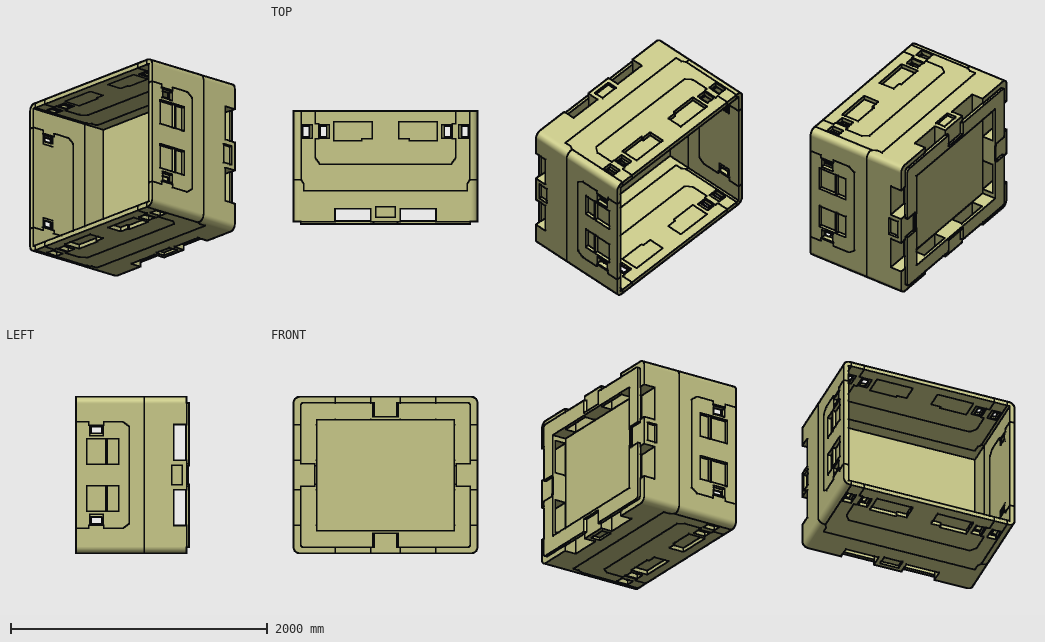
import cadquery as cq

length = 1435.0
width = 1220.0
height = 881.0
corner_radius = 52.0
overshoot = 15.0

wall_thickness = 40.0
corner_return = 63.0
seam_depth = 534.0
tab_taper_start = 538.0
tab_taper_end = 568.0
tab_depth = 623.0
tab_inset = 19.0

long_door_width = 1094.0
end_door_width = 830.0
door_depth = 416.0
door_corner_width = 37.0
door_corner_depth = 50.0
door_notch_width = 26.0
door_notch_top = 100.0
door_notch_bottom = 215.0

latch_pocket_width = 72.0
latch_pocket_top = 108.0
latch_pocket_bottom = 211.0
latch_hole_width = 50.0
latch_hole_top = 118.0
latch_hole_bottom = 200.0
latch_setback = 37.0
wall_latch_setback = 11.0
long_side_latch_depth = 35.0
end_side_latch_depth = 32.0

recess_top = 83.0
long_recess_inner = 103.0
long_recess_outer = 405.0
long_recess_bottom = 234.0
long_recess_step_outer = 184.0
long_recess_step_bottom = 217.0
long_recess_depth = 35.0
end_recess_inner = 83.0
end_recess_outer = 283.0
end_recess_bottom = 335.0
end_recess_bar_top = 234.0
end_recess_bar_bottom = 244.0
end_recess_depth = 29.0

post_bottom = 20.0
runner_top = 26.0
deck_bottom = 119.0
deck_thickness = 36.0
cavity_top = 120.0
fork_inner = 116.0
fork_outer = 392.0
runner_length = 1320.0
runner_width = 1125.0
runner_corner_radius = 22.0
cavity_length = 1070.0
cavity_width = 864.0
label_half_width = 77.0
label_bottom = 55.0
label_top = 136.0
label_depth = 23.0

end_notch_half_width = 89.0
end_notch_floor = 551.0
end_relief_half_width = 72.0
end_relief_depth = 6.0
long_notch_inner_half_width = 88.0
long_notch_outer_half_width = 100.0
long_notch_floor = 455.0

seam_height = height - seam_depth
SIDES = (-1, 1)


def block(x_range, y_range, z_range):
    """Box between the given limits."""
    sizes = [high - low for low, high in (x_range, y_range, z_range)]
    return cq.Workplane("XY").box(*sizes, centered=False).translate((x_range[0], y_range[0], z_range[0]))


def mirrored_block(side, x_range, y_range, z_range):
    """Box on the +X side, or its mirror image on the -X side."""
    x_limits = sorted(side * x for x in x_range)
    return block(x_limits, y_range, z_range)


def below_rim(top, bottom):
    """Y limits of a feature given by its depths below the rim."""
    return (height - bottom, height - top)


def rounded_body(size_x, size_z, y_range, radius):
    """Upright block with rounded vertical corners."""
    half_x, half_z = size_x / 2, size_z / 2
    return block((-half_x, half_x), y_range, (-half_z, half_z)).edges("|Y").fillet(radius)


def facing(panel, angle):
    """Turn a panel that faces +Z about the container's upright axis."""
    return panel.rotate((0, 0, 0), (0, 1, 0), angle)


def door_blank(door_width, outer_face):
    """Plain door facing +Z, with a notch in each side and cut lower corners."""
    half = door_width / 2
    right_side = [
        (half, 0),
        (half, door_notch_top),
        (half - door_notch_width, door_notch_top),
        (half - door_notch_width, door_notch_bottom),
        (half, door_notch_bottom),
        (half, door_depth - door_corner_depth),
        (half - door_corner_width, door_depth),
    ]
    left_side = [(-x, depth) for x, depth in reversed(right_side)]
    outline = [(x, height - depth) for x, depth in right_side + left_side]
    inner_face = outer_face - wall_thickness
    return cq.Workplane("XY").workplane(offset=inner_face).polyline(outline).close().extrude(wall_thickness)


def cut_latches(panel, outer_end, outer_face, pocket_depth):
    """Cut a latch pocket and its hole at both ends of a panel facing +Z."""
    outside = outer_face + overshoot
    inside = outer_face - wall_thickness - overshoot
    for side in SIDES:
        pocket = mirrored_block(
            side,
            (outer_end - latch_pocket_width, outer_end),
            below_rim(latch_pocket_top, latch_pocket_bottom),
            (outer_face - pocket_depth, outside),
        )
        hole = mirrored_block(
            side,
            (outer_end - latch_hole_width, outer_end),
            below_rim(latch_hole_top, latch_hole_bottom),
            (inside, outside),
        )
        panel = panel.cut(pocket).cut(hole)
    return panel


def long_door():
    """Door of a long wall, with two stepped hand recesses."""
    outer_face = width / 2
    door = door_blank(long_door_width, outer_face)
    door = cut_latches(door, long_door_width / 2 - latch_setback, outer_face, long_side_latch_depth)
    recess_z = (outer_face - long_recess_depth, outer_face + overshoot)
    for side in SIDES:
        shallow_part = mirrored_block(
            side,
            (long_recess_inner, long_recess_outer),
            below_rim(recess_top, long_recess_step_bottom),
            recess_z,
        )
        deep_part = mirrored_block(
            side,
            (long_recess_step_outer, long_recess_outer),
            below_rim(recess_top, long_recess_bottom),
            recess_z,
        )
        door = door.cut(shallow_part).cut(deep_part)
    return door


def end_door():
    """Door of an end wall, with two hand recesses that are each crossed by a bar."""
    outer_face = length / 2
    door = door_blank(end_door_width, outer_face)
    door = cut_latches(door, end_door_width / 2 - latch_setback, outer_face, end_side_latch_depth)
    recess_z = (outer_face - end_recess_depth, outer_face + overshoot)
    recess_depths = ((recess_top, end_recess_bar_top), (end_recess_bar_bottom, end_recess_bottom))
    for side in SIDES:
        for top, bottom in recess_depths:
            recess = mirrored_block(side, (end_recess_inner, end_recess_outer), below_rim(top, bottom), recess_z)
            door = door.cut(recess)
    return door


def long_wall_blank():
    """Long wall without openings, facing +Z, with a tapered tab along its lower edge."""
    half = length / 2 - corner_return
    right_side = [
        (half, 0),
        (half, tab_taper_start),
        (half - tab_inset, tab_taper_end),
        (half - tab_inset, tab_depth),
    ]
    left_side = [(-x, depth) for x, depth in reversed(right_side)]
    outline = [(x, height - depth) for x, depth in right_side + left_side]
    inner_face = width / 2 - wall_thickness
    wall = cq.Workplane("XY").workplane(offset=inner_face).polyline(outline).close()
    return wall.extrude(wall_thickness)


def long_wall():
    """Long wall with its door opening and the latches beside it."""
    outer_face = width / 2
    wall = long_wall_blank().cut(door_blank(long_door_width, outer_face))
    latch_end = length / 2 - corner_return - wall_latch_setback
    return cut_latches(wall, latch_end, outer_face, long_side_latch_depth)


def end_wall():
    """End wall facing +Z, returned round its outer corners, with its door opening."""
    outer_face = length / 2
    half = width / 2
    wall_y = (seam_height, height)
    wall = block((-half, half), wall_y, (outer_face - corner_return, outer_face))
    wall = wall.edges("|Y and >Z").fillet(corner_radius)
    inner_half = half - wall_thickness
    wall = wall.cut(block((-inner_half, inner_half), wall_y, (0, outer_face - wall_thickness)))
    return wall.cut(door_blank(end_door_width, outer_face))


def runner():
    """Frame under the posts, notched at the middle of each side."""
    frame = rounded_body(runner_length, runner_width, (0, runner_top), runner_corner_radius)
    notch_y = (-overshoot, post_bottom)

    end_z = (-end_notch_half_width, end_notch_half_width)
    relief_z = (-end_relief_half_width, end_relief_half_width)
    for side in SIDES:
        notch = mirrored_block(side, (end_notch_floor, length / 2), notch_y, end_z)
        relief = mirrored_block(side, (0, length / 2), (-overshoot, end_relief_depth), relief_z)
        frame = frame.cut(notch).cut(relief)

    long_notch_outline = [
        (-long_notch_outer_half_width, 0),
        (long_notch_outer_half_width, 0),
        (long_notch_inner_half_width, post_bottom),
        (-long_notch_inner_half_width, post_bottom),
    ]
    notch_length = width / 2 - long_notch_floor
    long_notch = (
        cq.Workplane("XY").workplane(offset=long_notch_floor).polyline(long_notch_outline).close()
        .extrude(notch_length)
    )
    return frame.cut(long_notch).cut(facing(long_notch, 180))


def base():
    """Tray on corner and middle posts, with fork channels both ways and the runner below."""
    body = rounded_body(length, width, (post_bottom, seam_height), corner_radius)

    inside_x = length / 2 - wall_thickness
    inside_z = width / 2 - wall_thickness
    tray_y = (deck_bottom + deck_thickness, height)
    body = body.cut(block((-inside_x, inside_x), tray_y, (-inside_z, inside_z)))
    for angle in (0, 180):
        body = body.cut(facing(long_wall_blank(), angle))

    channel_y = (0, deck_bottom)
    for side in SIDES:
        along_z = mirrored_block(side, (fork_inner, fork_outer), channel_y, (-width, width))
        along_x = facing(mirrored_block(side, (fork_inner, fork_outer), channel_y, (-length, length)), 90)
        body = body.cut(along_z).cut(along_x)

    for angle, outer_face in ((0, width / 2), (90, length / 2), (180, width / 2), (270, length / 2)):
        label_recess = block(
            (-label_half_width, label_half_width),
            (label_bottom, label_top),
            (outer_face - label_depth, outer_face + overshoot),
        )
        body = body.cut(facing(label_recess, angle))

    cavity_x = (-cavity_length / 2, cavity_length / 2)
    cavity_z = (-cavity_width / 2, cavity_width / 2)
    return body.union(runner()).cut(block(cavity_x, (-overshoot, cavity_top), cavity_z))


container_base = base()
long_walls = [facing(long_wall(), angle) for angle in (0, 180)]
end_walls = [facing(end_wall(), angle) for angle in (90, 270)]
long_doors = [facing(long_door(), angle) for angle in (0, 180)]
end_doors = [facing(end_door(), angle) for angle in (90, 270)]

panels = long_walls + end_walls + long_doors + end_doors
result = cq.Compound.makeCompound([container_base.val(), *[panel.val() for panel in panels]])